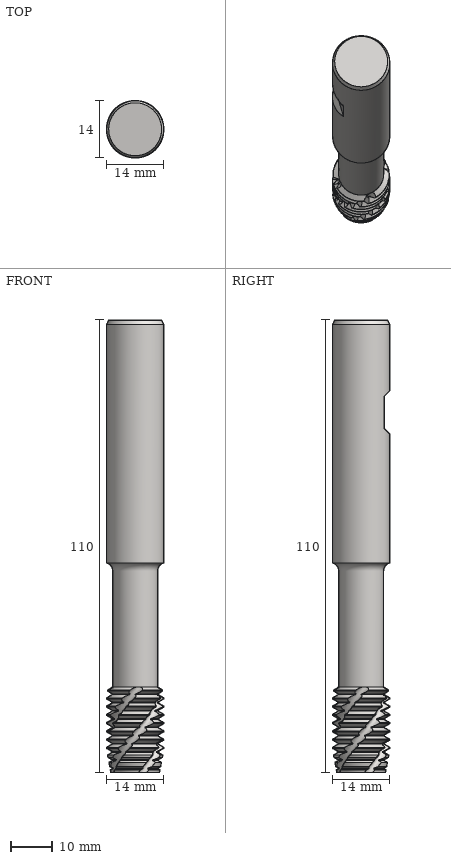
import cadquery as cq
import math

total_length = 110.0
outer_diameter = 14.0
outer_radius = outer_diameter / 2

neck_radius = 5.5
shoulder_z = 50.9
neck_fillet_radius = 2.0
end_chamfer_height = 1.1
end_chamfer_width = 0.5

flat_centre_z = 87.6
flat_length = 10.6
flat_depth = 1.3

last_crest_z = 20.0
groove_count = 10
pitch = last_crest_z / groove_count
head_length = 20.8
flank_angle = 30.0
crest_width = pitch / 8
root_width = 0.2
flank_width = (pitch - crest_width - root_width) / 2
thread_depth = flank_width / math.tan(math.radians(flank_angle))
root_radius = outer_radius - thread_depth
end_crest_radius = 6.8
lead_in_length = 5.5
lead_in_tip_radius = 5.9

flute_count = 4
flute_helix_angle = 45.0
flute_radius = 1.5
flute_front_z = 8.8
front_angle = -90.0
flute_lead = 2 * math.pi * outer_radius / math.tan(math.radians(flute_helix_angle))


def front_half_plane():
    """Sketch plane for turned outlines: local x is the radius toward -Y, local y is Z."""
    return cq.Workplane(cq.Plane(origin=(0, 0, 0), xDir=(0, -1, 0), normal=(-1, 0, 0)))


def spun(outline):
    """Close an outline and revolve it around Z."""
    return outline.close().revolve(360, (0, 0, 0), (0, 1, 0))


def turned(points):
    """Solid of revolution from straight (radius, z) outline points."""
    return spun(front_half_plane().polyline(points))


def make_clamping_flat():
    """Trapezoidal cutter with 45 degree end walls, running across the shank in X."""
    floor_y = outer_radius - flat_depth
    bottom_z = flat_centre_z - flat_length / 2
    top_z = flat_centre_z + flat_length / 2
    outline = [
        (outer_radius, bottom_z),
        (floor_y, bottom_z + flat_depth),
        (floor_y, top_z - flat_depth),
        (outer_radius, top_z),
    ]
    return cq.Workplane("YZ").polyline(outline).close().extrude(outer_radius, both=True)


def make_shank():
    """Shank and neck, with a concave fillet that runs from the neck out to the shoulder."""
    fillet_centre_r = neck_radius + neck_fillet_radius
    fillet_end_angle = math.acos((fillet_centre_r - outer_radius) / neck_fillet_radius)
    fillet_base_z = shoulder_z - neck_fillet_radius * math.sin(fillet_end_angle)
    fillet_middle = (
        fillet_centre_r - neck_fillet_radius * math.cos(fillet_end_angle / 2),
        fillet_base_z + neck_fillet_radius * math.sin(fillet_end_angle / 2),
    )
    outline = (
        front_half_plane()
        .moveTo(0, head_length)
        .lineTo(neck_radius, head_length)
        .lineTo(neck_radius, fillet_base_z)
        .threePointArc(fillet_middle, (outer_radius, shoulder_z))
        .lineTo(outer_radius, total_length - end_chamfer_height)
        .lineTo(outer_radius - end_chamfer_width, total_length)
        .lineTo(0, total_length)
    )
    return spun(outline).cut(make_clamping_flat())


def make_head_blank():
    """Cutting head before threading: tapered lead-in, lowered end crest, flank up to the neck."""
    end_crest_start_z = (groove_count - 0.5) * pitch
    end_flank_height = (end_crest_radius - neck_radius) * math.tan(math.radians(flank_angle))
    return turned([
        (0, 0),
        (lead_in_tip_radius, 0),
        (outer_radius, lead_in_length),
        (outer_radius, end_crest_start_z),
        (end_crest_radius, end_crest_start_z),
        (end_crest_radius, head_length - end_flank_height),
        (neck_radius, head_length),
        (0, head_length),
    ])


def make_thread_groove(index):
    """Ring-shaped cutter between two neighbouring crests; crest 0 lies at the tip."""
    centre_z = (index + 0.5) * pitch
    root_half = root_width / 2
    mouth_half = root_half + flank_width
    return turned([
        (root_radius, centre_z - root_half),
        (outer_radius, centre_z - mouth_half),
        (outer_radius, centre_z + mouth_half),
        (root_radius, centre_z + root_half),
    ])


def make_flute(index):
    """Twisted round cutter along the whole head."""
    tip_angle = front_angle - 360 * flute_front_z / flute_lead + 360 * index / flute_count
    twist = 360 * head_length / flute_lead
    cutter = cq.Workplane("XY").moveTo(outer_radius, 0).circle(flute_radius)
    cutter = cutter.twistExtrude(head_length, twist)
    return cutter.rotate((0, 0, 0), (0, 0, 1), tip_angle)


def make_cutting_head():
    """Blank with ring-shaped thread grooves and helical flutes cut from it."""
    head = make_head_blank()
    for index in range(groove_count):
        head = head.cut(make_thread_groove(index))
    for index in range(flute_count):
        head = head.cut(make_flute(index))
    return head


shank = make_shank()
cutting_head = make_cutting_head()

result = cq.Compound.makeCompound([shank.solids().val(), cutting_head.solids().val()])